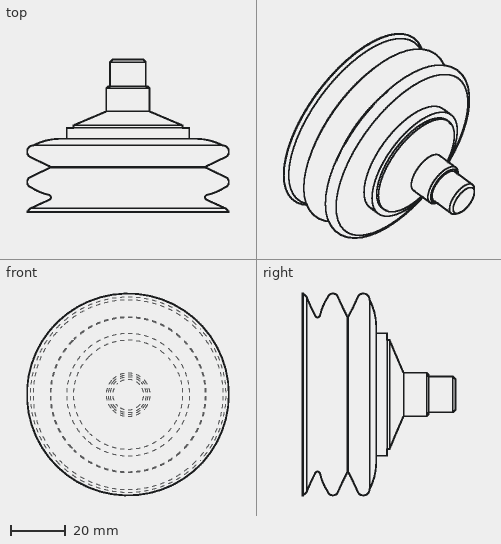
import cadquery as cq

cup_radius = 74 / 2
collar_radius = 45.0 / 2
flange_radius = 40.0 / 2
neck_radius = 16.0 / 2
stem_radius = 13.2 / 2

total_height = 56.0
neck_top = 46.2
cone_top = 37.0
cone_base = 31.9
collar_top = 31.0
bellows_top = 26.9

stem_chamfer = 0.95
neck_chamfer = 0.75

lip_rim_height = 0.2
lip_round_mid = (36.55, 0.75)
lip_round_end = (35.8, 1.5)

lower_groove_start = (28.7, 4.7)
lower_groove_floor = (28.3, 5.55)
lower_groove_end = (28.85, 6.4)

lower_flank_mid = (32.55, 7.55)
lower_fold_start = (35.7, 9.25)
lower_fold_crest = (cup_radius, 11.2)
lower_fold_end = (35.7, 13.0)

upper_groove_radius = 28.6
upper_groove_bottom = 16.4
upper_groove_top = 16.8

upper_fold_start = (36.0, 20.35)
upper_fold_crest = (cup_radius, 22.1)
upper_fold_end = (34.8, 24.6)
shoulder_mid = (29.2, 26.6)


def draw_bellows(profile):
    """Trace the lip, both folds and the shoulder from the sealing face upward."""
    return (
        profile.lineTo(cup_radius, 0)
        .lineTo(cup_radius, lip_rim_height)
        .threePointArc(lip_round_mid, lip_round_end)
        .lineTo(*lower_groove_start)
        .threePointArc(lower_groove_floor, lower_groove_end)
        .threePointArc(lower_flank_mid, lower_fold_start)
        .threePointArc(lower_fold_crest, lower_fold_end)
        .lineTo(upper_groove_radius, upper_groove_bottom)
        .lineTo(upper_groove_radius, upper_groove_top)
        .lineTo(*upper_fold_start)
        .threePointArc(upper_fold_crest, upper_fold_end)
        .threePointArc(shoulder_mid, (collar_radius, bellows_top))
    )


def draw_fitting(profile):
    """Trace the collar, cone, neck and stem up to the axis."""
    return (
        profile.lineTo(collar_radius, collar_top)
        .lineTo(flange_radius, collar_top)
        .lineTo(flange_radius, cone_base)
        .lineTo(neck_radius, cone_top)
        .lineTo(neck_radius, neck_top - neck_chamfer)
        .lineTo(neck_radius - neck_chamfer, neck_top)
        .lineTo(stem_radius, neck_top)
        .lineTo(stem_radius, total_height - stem_chamfer)
        .lineTo(stem_radius - stem_chamfer, total_height)
        .lineTo(0, total_height)
    )


half_profile = draw_fitting(draw_bellows(cq.Workplane("XY").moveTo(0, 0))).close()
result = half_profile.revolve(360, (0, 0, 0), (0, 1, 0))